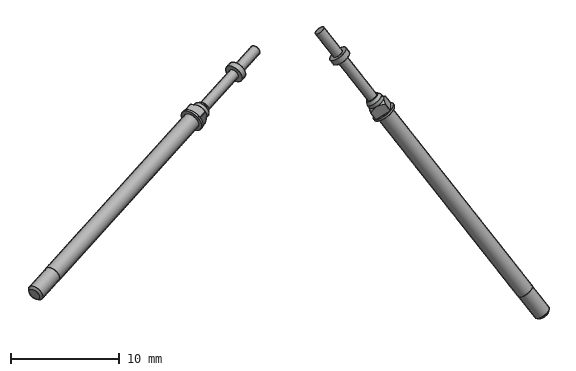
import cadquery as cq

total_length = 36.0
tail_diameter = 1.0
body_diameter = 1.65

collar_diameter = 1.87
collar_start = 2.95
collar_width = 0.58

shoulder_start = 8.45
shoulder_start_diameter = 1.25
shoulder_taper = 0.32
square_lead_start = 9.15
square_lead = 0.25
square_side = body_diameter

flange_diameter = 2.3
flange_start = 10.22
flange_thickness = 0.2
square_corner_diameter = flange_diameter

tip_length = 2.95
tip_diameter = 1.62
tip_chamfer = 0.2

tail_end = total_length / 2


def round_section(start, length, diameter):
    """Cylinder on the pin axis, starting at a distance from the tail end."""
    plane = cq.Workplane("XZ", origin=(0, tail_end - start, 0))
    return plane.circle(diameter / 2).extrude(length)


def cone_section(start, length, start_diameter, end_diameter):
    """Truncated cone on the pin axis, running from the tail towards the tip."""
    plane = cq.Workplane("XZ", origin=(0, tail_end - start, 0))
    return plane.circle(start_diameter / 2).workplane(offset=length).circle(end_diameter / 2).loft()


def square_section():
    """Square press-fit section with rounded corners and a conical lead-in."""
    length = flange_start - square_lead_start
    plane = cq.Workplane("XZ", origin=(0, tail_end - square_lead_start, 0))
    square = plane.rect(square_side, square_side).extrude(length)
    lead_in = cone_section(square_lead_start, square_lead, body_diameter, square_corner_diameter)
    corner_round = round_section(
        square_lead_start + square_lead, length - square_lead, square_corner_diameter
    )
    return square.intersect(lead_in.union(corner_round))


tip_start = total_length - tip_length
shoulder_end = shoulder_start + shoulder_taper

tail = round_section(0, shoulder_start, tail_diameter)
collar = round_section(collar_start, collar_width, collar_diameter)
shoulder = cone_section(shoulder_start, shoulder_taper, shoulder_start_diameter, body_diameter)
body = round_section(shoulder_end, tip_start - shoulder_end, body_diameter)
flange = round_section(flange_start, flange_thickness, flange_diameter)
tip = round_section(tip_start, tip_length, tip_diameter).faces("<Y").chamfer(tip_chamfer)

result = tail.union(collar).union(shoulder).union(body).union(square_section()).union(flange).union(tip)